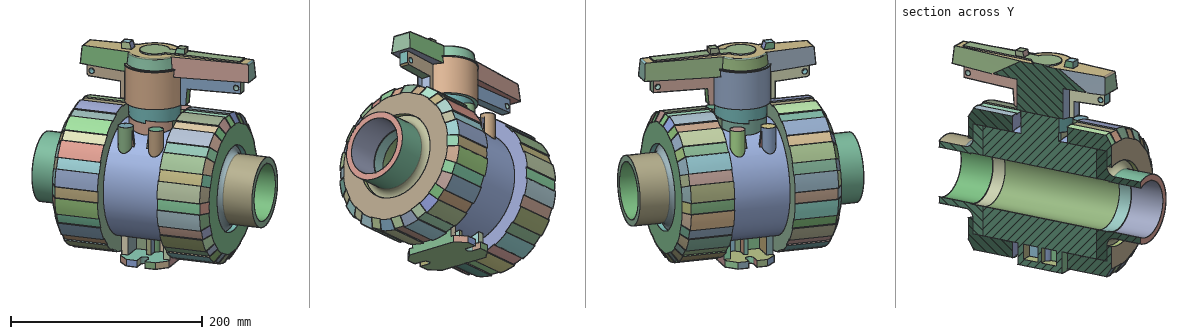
import cadquery as cq
import math


VALVE_LENGTH = 247.0
PIPE_RADIUS = 37.3
BORE_RADIUS = 30.6
BORE_RELIEF = 0.7
BORE_RELIEF_X = 84.7
FLANGE_FACE_X = 82.3
FLANGE_THICKNESS = 12.4
FLARE_RADIUS = 9.0

BODY_RADIUS = 63.0
NECK_RADIUS = 27.2
NECK_FLAT_X = 24.5
COLLAR_RADIUS = 27.5
COLLAR_TOP_Z = 86.7
RAMP_HIGH_Z = 72.9
RAMP_LOW_Z = 69.5
RAMP_COUNT = 4

PIN_X = 17.0
PIN_Y = 40.0
PIN_RADIUS = 8.0
PIN_TOP_Z = 69.2
FIN_WIDTH = 3.0
FIN_TOP_REACH = 7.2
FIN_SLOPE = 0.13
FIN_OFFSET = 2.7

FOOT_HALF_LENGTH = 27.2
FOOT_HALF_WIDTH = 40.3
FOOT_BOTTOM_Z = -85.2
FOOT_THICKNESS = 7.5
FOOT_CHAMFER = 10.9
FOOT_SLOT_RADIUS = 4.5
FOOT_SLOT_CENTER_Y = 29.6
FOOT_WALL_WIDTH = 7.5
FOOT_WALL_HALF_DEPTH = 25.7
FOOT_WEB_THICKNESS = 5.0
FOOT_BOSS_RADIUS = 7.5
FOOT_RIB_WIDTH = 4.7
FOOT_RIB_HALF_DEPTH = 17.3

NUT_INNER_X = 33.3
NUT_OUTER_X = 88.0
NUT_RADIUS = 80.0
NUT_CHAMFER_LENGTH = 6.7
NUT_CHAMFER_DEPTH = 10.4
NUT_HOLE_RADIUS = 46.2
GROOVE_COUNT = 16
GROOVE_WIDTH = 12.4
GROOVE_DEPTH = 1.5

HANDLE_TOP_Z = 141.5
HUB_RADIUS = 31.5
HUB_TOP_Z = 127.5
LIP_RADIUS = 32.0
LIP_HEIGHT = 1.2
CAP_BOTTOM_RADIUS = 29.5
CAP_TOP_RADIUS = 28.0
CAP_FILLET = 1.2
ARM_LEFT_X = -79.0
ARM_RIGHT_X = 109.7
ARM_LEFT_HALF_WIDTH = 12.5
ARM_MIDDLE_HALF_WIDTH = 17.8
ARM_RIGHT_HALF_WIDTH = 10.5
ARM_MIDDLE_Z = 120.3
ARM_END_Z = 122.0
ARM_END_DRAFT = 1.5
ARM_SIDE_DRAFT = 2.35
ARM_END_FILLET = 1.7
RIB_WIDTH = 10.5
RIB_LEFT_X = -74.0
RIB_RIGHT_X = 98.3
RIB_END_Z = 107.0
RIB_ROOT_Z = 105.2
RIB_CORNER = 2.0
SKIRT_LEFT_X = -36.5
SKIRT_RIGHT_X = 38.3
SKIRT_RIGHT_FOOT_X = 36.8
SKIRT_CORNER = 1.0
KEY_HOLE_RADIUS = 3.0
KEY_HOLE_Z = 113.0
KEY_HOLE_LEFT_X = -69.0
KEY_HOLE_RIGHT_X = 93.4
BADGE_RADIUS = 15.8
BADGE_BAR_WIDTH = 13.8
BADGE_THICKNESS = 1.5
TAB_WIDTH = 10.1
TAB_OUTER_X = 35.3
TAB_BOTTOM_INNER_X = 24.2
TAB_TOP_INNER_X = 26.5
TAB_TOP_Z = 148.7

BODY_END_X = FLANGE_FACE_X - FLANGE_THICKNESS
WIDE_BORE_RADIUS = BORE_RADIUS + BORE_RELIEF


def cylinder_x(radius, x_start, x_end):
    return cq.Workplane("YZ", origin=(x_start, 0, 0)).circle(radius).extrude(x_end - x_start)


def cylinder_z(radius, z_bottom, z_top, x=0, y=0):
    return cq.Workplane("XY", origin=(x, y, z_bottom)).circle(radius).extrude(z_top - z_bottom)


def block(x_size, y_size, z_bottom, z_top, x=0, y=0):
    return cq.Workplane("XY", origin=(x, y, z_bottom)).rect(x_size, y_size).extrude(z_top - z_bottom)


def plate_xz(points, thickness):
    """Plate with an outline in the XZ plane, centred on y = 0."""
    return cq.Workplane("XZ").polyline(points).close().extrude(thickness / 2, both=True)


def for_both_ends(part):
    """The part on the -X end and its mirror image on the +X end."""
    return [part, part.mirror("YZ")]


def make_connector():
    flare_top = PIPE_RADIUS + FLARE_RADIUS
    flare_start_x = -FLANGE_FACE_X - FLARE_RADIUS
    arc_offset = FLARE_RADIUS * math.sqrt(0.5)
    profile = (
        cq.Workplane("XY")
        .moveTo(-VALVE_LENGTH / 2, BORE_RADIUS)
        .lineTo(-VALVE_LENGTH / 2, PIPE_RADIUS)
        .lineTo(flare_start_x, PIPE_RADIUS)
        .threePointArc(
            (flare_start_x + arc_offset, flare_top - arc_offset),
            (-FLANGE_FACE_X, flare_top),
        )
        .lineTo(-FLANGE_FACE_X, BODY_RADIUS)
        .lineTo(-BODY_END_X, BODY_RADIUS)
        .lineTo(-BODY_END_X, WIDE_BORE_RADIUS)
        .lineTo(-BORE_RELIEF_X, WIDE_BORE_RADIUS)
        .lineTo(-BORE_RELIEF_X, BORE_RADIUS)
        .close()
    )
    return profile.revolve(360, (0, 0, 0), (1, 0, 0))


def nut_blank(radius_reduction):
    radius = NUT_RADIUS - radius_reduction
    chamfer_radius = NUT_RADIUS - NUT_CHAMFER_DEPTH - radius_reduction / 2
    profile = (
        cq.Workplane("XY")
        .moveTo(-NUT_OUTER_X, 0)
        .lineTo(-NUT_OUTER_X, chamfer_radius)
        .lineTo(-NUT_OUTER_X + NUT_CHAMFER_LENGTH, radius)
        .lineTo(-NUT_INNER_X, radius)
        .lineTo(-NUT_INNER_X, 0)
        .close()
    )
    return profile.revolve(360, (0, 0, 0), (1, 0, 0))


def make_nut():
    teeth = nut_blank(0)
    for index in range(GROOVE_COUNT):
        slot = block(VALVE_LENGTH, GROOVE_WIDTH, 0, VALVE_LENGTH)
        teeth = teeth.cut(slot.rotate((0, 0, 0), (1, 0, 0), index * 360 / GROOVE_COUNT))
    nut = teeth.union(nut_blank(GROOVE_DEPTH))
    nut = nut.cut(cylinder_x(NUT_HOLE_RADIUS, -NUT_OUTER_X, -NUT_INNER_X))
    return nut.cut(cylinder_x(BODY_RADIUS, -FLANGE_FACE_X, -NUT_INNER_X))


def make_collar():
    """Collar on the neck, with a ring of ramps under its rim."""
    collar = cylinder_z(COLLAR_RADIUS, RAMP_HIGH_Z, COLLAR_TOP_Z)
    ring = cylinder_z(COLLAR_RADIUS, RAMP_LOW_Z, RAMP_HIGH_Z)
    quarter = ring.intersect(
        block(COLLAR_RADIUS, COLLAR_RADIUS, RAMP_LOW_Z, RAMP_HIGH_Z, COLLAR_RADIUS / 2, COLLAR_RADIUS / 2)
    )
    half_chord = COLLAR_RADIUS * math.sqrt(0.5)
    wedge = plate_xz(
        [(half_chord, RAMP_HIGH_Z), (-half_chord, RAMP_HIGH_Z), (-half_chord, RAMP_LOW_Z)],
        4 * COLLAR_RADIUS,
    )
    ramp = quarter.intersect(wedge.rotate((0, 0, 0), (0, 0, 1), -45))
    for index in range(RAMP_COUNT):
        collar = collar.union(ramp.rotate((0, 0, 0), (0, 0, 1), index * 360 / RAMP_COUNT))
    return collar


def make_pin():
    """Pin with two tapered fins, in the +X +Y quarter."""
    fin_bottom_reach = FIN_TOP_REACH + FIN_SLOPE * PIN_TOP_Z
    fin = plate_xz(
        [(0, PIN_TOP_Z), (-FIN_TOP_REACH, PIN_TOP_Z), (-fin_bottom_reach, 0), (0, 0)],
        FIN_WIDTH,
    )
    stem_side_fin = fin.rotate((0, 0, 0), (0, 0, 1), 90).translate((FIN_OFFSET, 0, 0))
    pin = cylinder_z(PIN_RADIUS, 0, PIN_TOP_Z).union(fin).union(stem_side_fin)
    return pin.translate((PIN_X, PIN_Y, 0))


def make_foot():
    plate_top_z = FOOT_BOTTOM_Z + FOOT_THICKNESS
    foot = block(2 * FOOT_HALF_LENGTH, 2 * FOOT_HALF_WIDTH, FOOT_BOTTOM_Z, plate_top_z)
    foot = foot.edges("|Z").chamfer(FOOT_CHAMFER)
    slot_length = FOOT_HALF_WIDTH - FOOT_SLOT_CENTER_Y
    slot = cylinder_z(FOOT_SLOT_RADIUS, FOOT_BOTTOM_Z, plate_top_z, y=FOOT_SLOT_CENTER_Y).union(
        block(
            2 * FOOT_SLOT_RADIUS, slot_length, FOOT_BOTTOM_Z, plate_top_z,
            y=FOOT_SLOT_CENTER_Y + slot_length / 2,
        )
    )
    foot = foot.cut(slot).cut(slot.mirror("XZ"))

    wall_x = FOOT_HALF_LENGTH - FOOT_WALL_WIDTH / 2
    for x in (-wall_x, wall_x):
        foot = foot.union(block(FOOT_WALL_WIDTH, 2 * FOOT_WALL_HALF_DEPTH, plate_top_z, 0, x))
    foot = foot.union(block(2 * wall_x, FOOT_WEB_THICKNESS, plate_top_z, 0))
    foot = foot.union(cylinder_z(FOOT_BOSS_RADIUS, plate_top_z, 0))
    return foot.union(block(FOOT_RIB_WIDTH, 2 * FOOT_RIB_HALF_DEPTH, plate_top_z, 0))


def make_neck():
    neck = cylinder_z(NECK_RADIUS, 0, COLLAR_TOP_Z)
    return neck.intersect(block(2 * NECK_FLAT_X, 2 * NECK_RADIUS, 0, COLLAR_TOP_Z))


def make_body():
    body = cylinder_x(BODY_RADIUS, -BODY_END_X, BODY_END_X)
    body = body.union(make_neck()).union(make_collar())
    pin = make_pin()
    pin_pair = pin.union(pin.mirror("YZ"))
    body = body.union(pin_pair).union(pin_pair.mirror("XZ")).union(make_foot())
    return body.cut(cylinder_x(WIDE_BORE_RADIUS, -BODY_END_X, BODY_END_X))


def arm_outline(end_inset, side_inset):
    """Six-cornered arm outline, widest over the stem axis."""
    left_x = ARM_LEFT_X + end_inset
    right_x = ARM_RIGHT_X - end_inset
    upper_side = [
        (left_x, ARM_LEFT_HALF_WIDTH - side_inset),
        (0, ARM_MIDDLE_HALF_WIDTH - side_inset),
        (right_x, ARM_RIGHT_HALF_WIDTH - side_inset),
    ]
    return upper_side + [(x, -y) for x, y in reversed(upper_side)]


def make_arm():
    arm = (
        cq.Workplane("XY", origin=(0, 0, ARM_MIDDLE_Z))
        .polyline(arm_outline(0, 0))
        .close()
        .workplane(offset=HANDLE_TOP_Z - ARM_MIDDLE_Z)
        .polyline(arm_outline(ARM_END_DRAFT, ARM_SIDE_DRAFT))
        .close()
        .loft(ruled=True)
    )
    arm = arm.faces(">Z").edges("|Y").fillet(ARM_END_FILLET)
    for end_x in (ARM_LEFT_X, ARM_RIGHT_X):
        flat_end_x = math.copysign(HUB_RADIUS, end_x)
        relief = plate_xz(
            [(flat_end_x, ARM_MIDDLE_Z), (end_x, ARM_END_Z), (end_x, ARM_MIDDLE_Z)],
            4 * ARM_MIDDLE_HALF_WIDTH,
        )
        arm = arm.cut(relief)
    return arm


def make_hub():
    lip_top_z = HUB_TOP_Z + LIP_HEIGHT
    cap = (
        cq.Workplane("XY", origin=(0, 0, lip_top_z))
        .circle(CAP_BOTTOM_RADIUS)
        .workplane(offset=HANDLE_TOP_Z - lip_top_z)
        .circle(CAP_TOP_RADIUS)
        .loft()
        .faces(">Z")
        .edges()
        .fillet(CAP_FILLET)
    )
    hub = cylinder_z(HUB_RADIUS, COLLAR_TOP_Z, HUB_TOP_Z)
    return hub.union(cylinder_z(LIP_RADIUS, HUB_TOP_Z, lip_top_z)).union(cap)


def make_rib():
    """Rib under the arms, deepened into a skirt beside the hub."""
    rib = plate_xz(
        [
            (RIB_LEFT_X, ARM_END_Z),
            (RIB_LEFT_X, RIB_END_Z + RIB_CORNER),
            (RIB_LEFT_X + RIB_CORNER, RIB_END_Z),
            (SKIRT_LEFT_X, RIB_ROOT_Z),
            (SKIRT_LEFT_X, COLLAR_TOP_Z + SKIRT_CORNER),
            (SKIRT_LEFT_X + SKIRT_CORNER, COLLAR_TOP_Z),
            (SKIRT_RIGHT_FOOT_X - SKIRT_CORNER, COLLAR_TOP_Z),
            (SKIRT_RIGHT_FOOT_X, COLLAR_TOP_Z + SKIRT_CORNER),
            (SKIRT_RIGHT_X, RIB_ROOT_Z),
            (RIB_RIGHT_X, RIB_END_Z),
            (RIB_RIGHT_X, ARM_END_Z),
        ],
        RIB_WIDTH,
    )
    holes = (
        cq.Workplane("XZ")
        .pushPoints([(KEY_HOLE_LEFT_X, KEY_HOLE_Z), (KEY_HOLE_RIGHT_X, KEY_HOLE_Z)])
        .circle(KEY_HOLE_RADIUS)
        .extrude(RIB_WIDTH, both=True)
    )
    return rib.cut(holes)


def make_badge():
    """Thin raised keyhole shape on top of the handle."""
    top_z = HANDLE_TOP_Z + BADGE_THICKNESS
    disc = cylinder_z(BADGE_RADIUS, HANDLE_TOP_Z, top_z)
    return disc.union(block(RIB_RIGHT_X, BADGE_BAR_WIDTH, HANDLE_TOP_Z, top_z, RIB_RIGHT_X / 2))


def make_tab():
    """Raised tab over the -X arm."""
    return plate_xz(
        [
            (-TAB_OUTER_X, HANDLE_TOP_Z),
            (-TAB_OUTER_X, TAB_TOP_Z),
            (-TAB_TOP_INNER_X, TAB_TOP_Z),
            (-TAB_BOTTOM_INNER_X, HANDLE_TOP_Z),
        ],
        TAB_WIDTH,
    )


def make_handle():
    handle = make_hub().union(make_arm()).union(make_rib()).union(make_badge())
    for tab in for_both_ends(make_tab()):
        handle = handle.union(tab)
    return handle


body = make_body()
handle = make_handle()
connectors = for_both_ends(make_connector())
nuts = for_both_ends(make_nut())

bodies = [body, handle] + connectors + nuts
result = cq.Compound.makeCompound([solid for part in bodies for solid in part.solids().vals()])